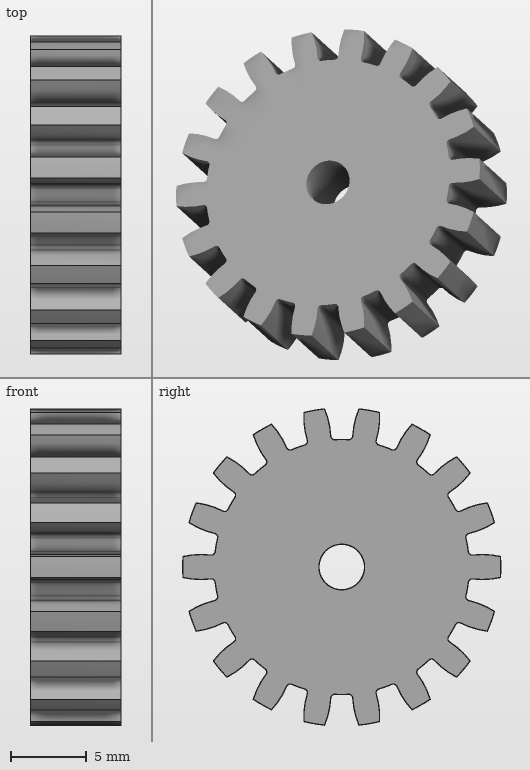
import cadquery as cq
import math

FACE_WIDTH = 6.0
TOOTH_COUNT = 18
TIP_RADIUS = 10.54
ROOT_RADIUS = 8.45
BORE_DIAMETER = 3.0

FOOT_HALF_THICKNESS = 0.71
WIDEST_HALF_THICKNESS = 0.835
WIDEST_RADIUS = 9.4
TIP_HALF_THICKNESS = 0.70
ROOT_FILLET_RADIUS = 0.25

FOOT_OVERLAP = 0.3


def tooth_blank():
    """Tooth pointing along +Y, with arc-shaped flanks and a tip on the tip circle."""
    foot_radius = ROOT_RADIUS - FOOT_OVERLAP
    tip_corner_height = math.sqrt(TIP_RADIUS**2 - TIP_HALF_THICKNESS**2)
    return (
        cq.Workplane("YZ")
        .moveTo(foot_radius, -FOOT_HALF_THICKNESS)
        .threePointArc((WIDEST_RADIUS, -WIDEST_HALF_THICKNESS), (tip_corner_height, -TIP_HALF_THICKNESS))
        .threePointArc((TIP_RADIUS, 0), (tip_corner_height, TIP_HALF_THICKNESS))
        .threePointArc((WIDEST_RADIUS, WIDEST_HALF_THICKNESS), (foot_radius, FOOT_HALF_THICKNESS))
        .close()
        .extrude(FACE_WIDTH)
    )


def toothed_disc():
    """Hub disc carrying all the teeth, with its axis along X."""
    disc = cq.Workplane("YZ").circle(ROOT_RADIUS).extrude(FACE_WIDTH)
    tooth = tooth_blank()
    pitch_angle = 360.0 / TOOTH_COUNT
    for index in range(TOOTH_COUNT):
        disc = disc.union(tooth.rotate((0, 0, 0), (1, 0, 0), index * pitch_angle))
    return disc


def round_tooth_roots(gear):
    """Fillet the inner corners where the flanks meet the root circle."""
    root_limit = ROOT_RADIUS + ROOT_FILLET_RADIUS
    root_corners = [
        edge
        for edge in gear.edges("|X").vals()
        if math.hypot(edge.Center().y, edge.Center().z) < root_limit
    ]
    return gear.newObject(root_corners).fillet(ROOT_FILLET_RADIUS)


def bore():
    """Through hole along the gear axis."""
    return cq.Workplane("YZ").circle(BORE_DIAMETER / 2).extrude(FACE_WIDTH)


result = round_tooth_roots(toothed_disc()).cut(bore())